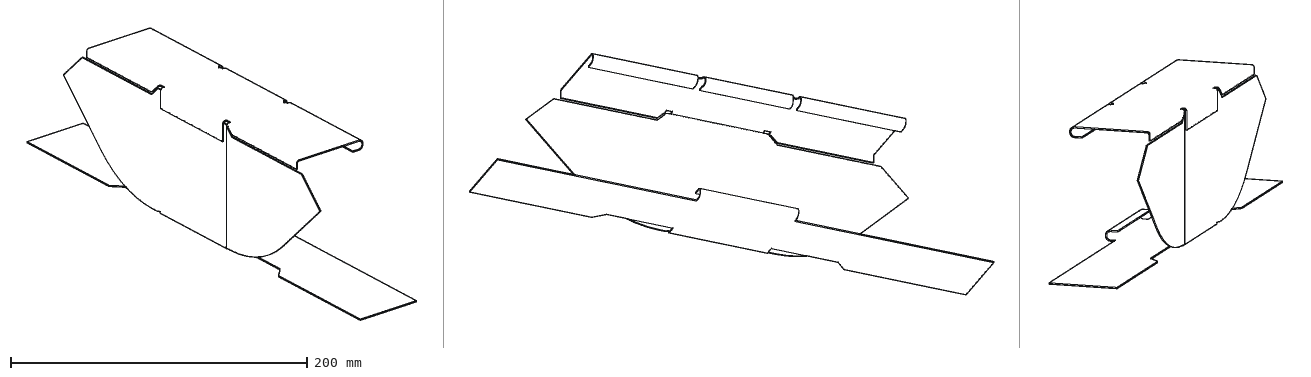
import cadquery as cq

base_length = 364.0
depth = 57.0
height = 95.0
sheet = 1.0
inner_bend = 1.0
outer_bend = inner_bend + sheet

front_y = -depth / 2
back_y = depth / 2
panel_y = front_y + sheet
top_z = height / 2
bottom_z = -height / 2
top_bend_z = top_z - outer_bend
bottom_bend_z = bottom_z + outer_bend

lip_height = 7.5
lip_length = 8.7
lip_bend = 3.5

cover_length = 229.5
strip_drop = 6.5
strip_end = 39.3
tab_half = 34.0
tab_drop = 15.3
slot_outer = 38.2
slot_depth = 3.3
notch_outer = 38.0
notch_inner = 32.0
notch_root_inner = 33.0
notch_tip = 36.0
notch_depth = 4.5
notch_tip_depth = 6.0

base_back_y = 21.5
base_front_gap = 2.0
base_front_y = front_y + base_front_gap
middle_half = 36.0
jog_width = 2.5
recess_outer = 92.5
recess_depth = 7.5

strip_gap = 2.0
wing_top_z = top_z - strip_drop - strip_gap
wing_tip_x = 140.0
wing_tip_z = 19.0
wing_radius = 80.0

clearance = 3.5


def box_between(x0, x1, y0, y1, z0, z1):
    """Block spanning the given limits."""
    return cq.Workplane("XY").box(x1 - x0, y1 - y0, z1 - z0, centered=False).translate((x0, y0, z0))


def folded_sheet(length, face_y):
    """Top sheet with a front bend and a return lip at the back, running along X."""
    def rounded_bar(inset):
        y0 = face_y + inset
        y1 = back_y - inset
        z0 = top_z - lip_height + inset
        z1 = top_z - inset
        bar = box_between(-length / 2, length / 2, y0, y1, z0, z1)
        return bar.edges("|X and >Y").fillet(lip_bend - inset).edges("|X and <Y").fillet(outer_bend - inset)

    opening = box_between(
        -length, length,
        face_y - clearance, back_y - lip_length,
        top_z - lip_height - clearance, top_bend_z,
    )
    return rounded_bar(0).cut(rounded_bar(sheet)).cut(opening)


def front_plate(points):
    """Flat sheet in the foremost layer with the given XZ outline."""
    return cq.Workplane("XZ", origin=(0, front_y, 0)).polyline(points).close().extrude(-sheet)


def mirrored_pair(shape):
    """The shape and its mirror image across the middle."""
    return shape.union(shape.mirror("YZ"))


def cover_strip():
    strip_z = top_z - strip_drop
    corner_cut = top_bend_z - strip_z
    return front_plate([
        (-cover_length / 2, top_bend_z),
        (-strip_end, top_bend_z),
        (-strip_end - corner_cut, strip_z),
        (-cover_length / 2, strip_z),
    ])


def cover_tab():
    return box_between(-tab_half, tab_half, front_y, panel_y, top_z - tab_drop, top_bend_z)


def lip_notch():
    """Tapered cut through the lip, ending in a point in the top sheet."""
    outline = [
        (-notch_outer, back_y),
        (-notch_outer, back_y - notch_depth),
        (-notch_tip, back_y - notch_tip_depth),
        (-notch_root_inner, back_y - notch_depth),
        (-notch_inner, back_y),
    ]
    cutter = cq.Workplane("XY", origin=(0, 0, top_z)).polyline(outline).close().extrude(-lip_height)
    flange_cut = box_between(
        -notch_outer, -notch_root_inner,
        back_y - lip_length, back_y - notch_depth,
        top_z - lip_height, top_z - lip_height + sheet,
    )
    return cutter.union(flange_cut)


def front_slot():
    return box_between(-slot_outer, -tab_half, front_y, front_y + slot_depth, top_z - tab_drop, top_z)


def make_cover():
    body = folded_sheet(cover_length, front_y)
    body = body.union(mirrored_pair(cover_strip())).union(cover_tab())
    return body.cut(mirrored_pair(front_slot())).cut(mirrored_pair(lip_notch()))


def base_plate():
    """Flat bottom sheet with a 45 degree sided recess under each wing."""
    plate = box_between(
        -base_length / 2, base_length / 2,
        base_front_y, base_back_y,
        bottom_z, bottom_z + sheet,
    )
    recess = (
        cq.Workplane("XY", origin=(0, 0, bottom_z))
        .polyline([
            (-recess_outer, base_front_y),
            (-recess_outer + recess_depth, base_front_y + recess_depth),
            (-middle_half, base_front_y + recess_depth),
            (-middle_half, base_front_y),
        ])
        .close()
        .extrude(sheet)
    )
    bend_room = box_between(
        -middle_half, middle_half,
        panel_y, panel_y + outer_bend,
        bottom_z, bottom_z + sheet,
    )
    return plate.cut(mirrored_pair(recess)).cut(bend_room)


def jogged_wall():
    """Upright sheet that steps forward in a smooth S on both sides of the middle panel."""
    jog_end = middle_half + jog_width
    jog_middle = middle_half + jog_width / 2
    half_step = (front_y + panel_y) / 2
    return (
        cq.Workplane("XY", origin=(0, 0, bottom_bend_z))
        .moveTo(-wing_tip_x, front_y)
        .lineTo(-jog_end, front_y)
        .tangentArcPoint((-jog_middle, half_step), relative=False)
        .tangentArcPoint((-middle_half, panel_y), relative=False)
        .lineTo(middle_half, panel_y)
        .tangentArcPoint((jog_middle, half_step), relative=False)
        .tangentArcPoint((jog_end, front_y), relative=False)
        .lineTo(wing_tip_x, front_y)
        .lineTo(wing_tip_x, front_y + sheet)
        .lineTo(jog_end, front_y + sheet)
        .tangentArcPoint((jog_middle, half_step + sheet), relative=False)
        .tangentArcPoint((middle_half, panel_y + sheet), relative=False)
        .lineTo(-middle_half, panel_y + sheet)
        .tangentArcPoint((-jog_middle, half_step + sheet), relative=False)
        .tangentArcPoint((-jog_end, front_y + sheet), relative=False)
        .lineTo(-wing_tip_x, front_y + sheet)
        .close()
        .extrude(top_bend_z - bottom_bend_z)
    )


def wing_outline():
    """Block with the front outline of the panel and its wings; all slopes are 45 degrees."""
    shoulder_x = wing_tip_x - (wing_top_z - wing_tip_z)
    foot_x = wing_tip_x - (wing_tip_z - bottom_bend_z)
    neck_x = middle_half + jog_width
    neck_z = top_bend_z - strip_gap / 2
    rise_x = neck_x + neck_z - wing_top_z
    left = [
        (-neck_x, top_bend_z),
        (-neck_x, neck_z),
        (-rise_x, wing_top_z),
        (-shoulder_x, wing_top_z),
        (-wing_tip_x, wing_tip_z),
        (-foot_x, bottom_bend_z),
    ]
    right = [(-x, z) for x, z in reversed(left)]
    block = (
        cq.Workplane("XZ", origin=(0, front_y - clearance, 0))
        .polyline(left + right)
        .close()
        .extrude(-2 * sheet - 2 * clearance)
    )
    feet = cq.selectors.BoxSelector(
        (-base_length, -base_length, bottom_bend_z - sheet),
        (base_length, base_length, bottom_bend_z + sheet),
    )
    return block.edges("|Y").edges(feet).fillet(wing_radius)


def make_base():
    middle_fold = folded_sheet(2 * middle_half, panel_y).mirror("XY")
    panel_and_wings = jogged_wall().intersect(wing_outline())
    return base_plate().union(middle_fold).union(panel_and_wings)


cover = make_cover()
base = make_base()

result = cq.Compound.makeCompound([cover.solids().val(), base.solids().val()])